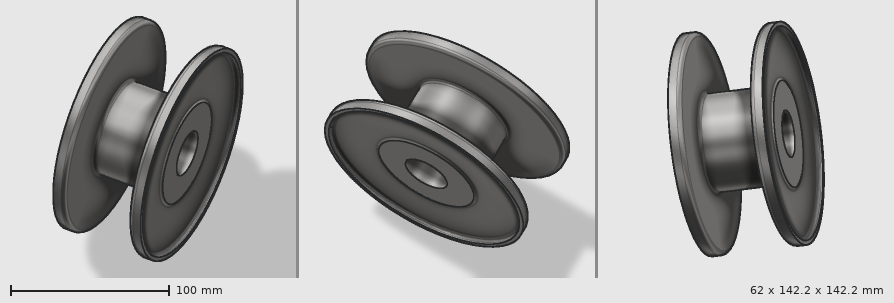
import cadquery as cq

width = 62.0
outer_radius = 71.1
bore_radius = 15.0
hub_radius = 31.5

flange_width = 8.4
flange_round = 2.8
hub_fillet = 2.3

recess_outer_radius = 68.3
recess_inner_radius = 33.7
recess_depth_at_rim = 4.0
recess_depth_at_boss = 4.4
boss_face_depth = 3.1
rim_fillet = 2.5
boss_fillet = 2.5

half_width = width / 2
flange_inner_x = half_width - flange_width


def revolve_about_x(profile):
    return profile.close().revolve(360, (0, 0, 0), (1, 0, 0))


def spool_body():
    """Hub between two flanges, rounded at the rims and filleted at the hub."""
    half_profile = (
        cq.Workplane("XY")
        .moveTo(0, bore_radius)
        .lineTo(half_width, bore_radius)
        .lineTo(half_width, outer_radius)
        .lineTo(flange_inner_x + flange_round, outer_radius)
        .radiusArc((flange_inner_x, outer_radius - flange_round), -flange_round)
        .lineTo(flange_inner_x, hub_radius + hub_fillet)
        .radiusArc((flange_inner_x - hub_fillet, hub_radius), hub_fillet)
        .lineTo(0, hub_radius)
    )
    half = revolve_about_x(half_profile)
    return half.union(half.mirror("YZ"))


def end_recess():
    """Recess cut into the +X end face, with rounded floor corners and a sunken boss."""
    profile = (
        cq.Workplane("XY")
        .moveTo(half_width, recess_inner_radius)
        .lineTo(half_width - recess_depth_at_boss, recess_inner_radius)
        .lineTo(half_width - recess_depth_at_rim, recess_outer_radius)
        .lineTo(half_width, recess_outer_radius)
    )
    ring = revolve_about_x(profile)
    floor_cone = ring.faces("%CONE")
    boss_corner = floor_cone.edges(cq.selectors.RadiusNthSelector(0))
    ring = boss_corner.fillet(boss_fillet)
    rim_corner = ring.faces("%CONE").edges(cq.selectors.RadiusNthSelector(-1))
    ring = rim_corner.fillet(rim_fillet)
    boss_face_x = half_width - boss_face_depth
    boss_clearance = (
        cq.Workplane("YZ", origin=(boss_face_x, 0, 0))
        .circle(recess_inner_radius + boss_fillet)
        .extrude(boss_face_depth)
    )
    return ring.union(boss_clearance)


recess = end_recess()
result = spool_body().cut(recess).cut(recess.mirror("YZ"))